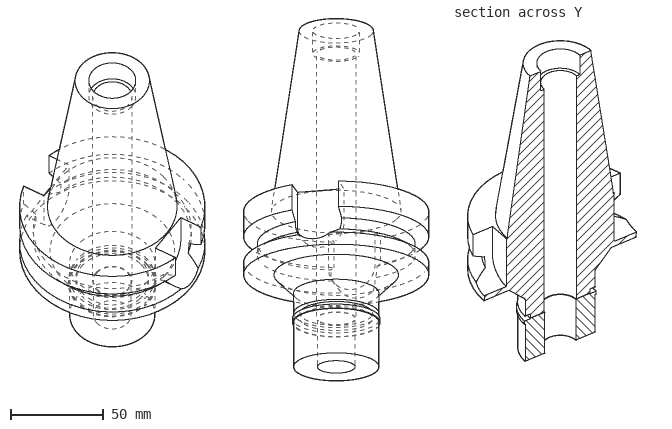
import cadquery as cq

nut_height = 27.6
nut_radius = 23.0
collar_bottom = 25.3
collar_radius = 23.5
nut_bore_radius = 10.2

neck_bottom = 30.5
neck_top = 42.0
flange_bottom = 52.5
lower_rim_top = 59.5
groove_floor_bottom = 63.9
groove_floor_top = 70.2
upper_rim_bottom = 74.2
flange_top = 88.6
gauge_level = 90.0
total_height = 191.8

relief_radius = 19.5
neck_radius = nut_radius
skirt_radius = neck_radius + flange_bottom - neck_top
flange_radius = 100.0 / 2
groove_radius = 42.5
taper_base_radius = 35.0
taper_ratio = 7 / 24
taper_top_radius = taper_base_radius - (total_height - gauge_level) * taper_ratio / 2

holder_bore_radius = 10.5
counterbore_radius = 12.7
counterbore_depth = 13.0

slot_width = 25.7
slot_floor_x = 35.5
slot_bottom = 56.2


def revolve_profile(points):
    """Turn a closed (radius, height) outline around the Z axis."""
    return cq.Workplane("XZ").polyline(points).close().revolve(360, (0, 0, 0), (0, 1, 0))


def make_drive_slot(side):
    """Round-bottomed cutter for one drive slot; side is +1 or -1 along X."""
    slot_radius = slot_width / 2
    arc_center_z = slot_bottom + slot_radius
    return (
        cq.Workplane("YZ", origin=(side * slot_floor_x, 0, 0))
        .moveTo(-slot_radius, flange_top)
        .lineTo(-slot_radius, arc_center_z)
        .threePointArc((0, slot_bottom), (slot_radius, arc_center_z))
        .lineTo(slot_radius, flange_top)
        .close()
        .extrude(side * flange_radius)
    )


def make_holder():
    """Taper shank, V-grooved flange and neck, bored through along the axis."""
    counterbore_floor = total_height - counterbore_depth
    body = revolve_profile([
        (holder_bore_radius, nut_height),
        (relief_radius, nut_height),
        (relief_radius, neck_bottom),
        (neck_radius, neck_bottom),
        (neck_radius, neck_top),
        (skirt_radius, flange_bottom),
        (flange_radius, flange_bottom),
        (flange_radius, lower_rim_top),
        (groove_radius, groove_floor_bottom),
        (groove_radius, groove_floor_top),
        (flange_radius, upper_rim_bottom),
        (flange_radius, flange_top),
        (taper_base_radius, flange_top),
        (taper_base_radius, gauge_level),
        (taper_top_radius, total_height),
        (counterbore_radius, total_height),
        (counterbore_radius, counterbore_floor),
        (holder_bore_radius, counterbore_floor),
    ])
    for side in (-1, 1):
        body = body.cut(make_drive_slot(side))
    return body


def make_nut():
    """Bored nut with a thin collar around its top, seated under the holder."""
    return revolve_profile([
        (nut_bore_radius, 0),
        (nut_radius, 0),
        (nut_radius, collar_bottom),
        (collar_radius, collar_bottom),
        (collar_radius, nut_height),
        (nut_bore_radius, nut_height),
    ])


holder = make_holder()
nut = make_nut()

result = cq.Compound.makeCompound([holder.val(), nut.val()])